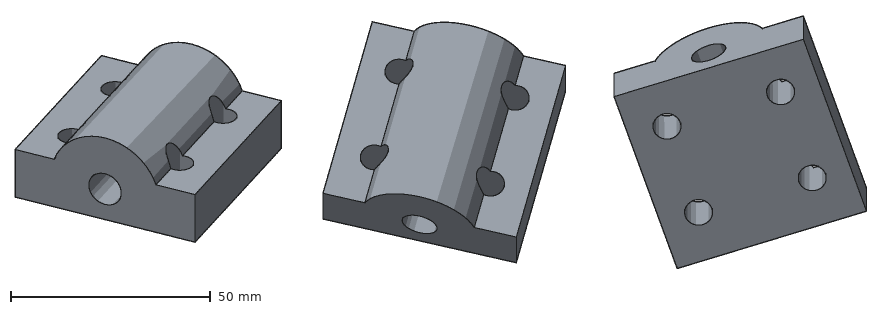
import cadquery as cq

side = 50.0
base_height = 14.0

bore_diameter = 9.0
bore_height = 9.0
housing_radius = 15.0

bolt_diameter = 7.0
bolt_spacing_x = 30.0
bolt_spacing_y = 25.0
bolt_offset_y = -0.5


def cylinder_along_y(radius):
    """Full-length cylinder on the bore axis."""
    return (
        cq.Workplane("XZ", origin=(0, side / 2, 0))
        .center(0, bore_height)
        .circle(radius)
        .extrude(side)
    )


def block(height):
    """Square block standing on the bottom plane."""
    return cq.Workplane("XY").box(side, side, height, centered=(True, True, False))


total_height = bore_height + housing_radius
housing = cylinder_along_y(housing_radius).intersect(block(total_height))

bolt_holes = (
    cq.Workplane("XY")
    .center(0, bolt_offset_y)
    .rarray(bolt_spacing_x, bolt_spacing_y, 2, 2)
    .circle(bolt_diameter / 2)
    .extrude(total_height)
)

result = (
    block(base_height)
    .union(housing)
    .cut(cylinder_along_y(bore_diameter / 2))
    .cut(bolt_holes)
)